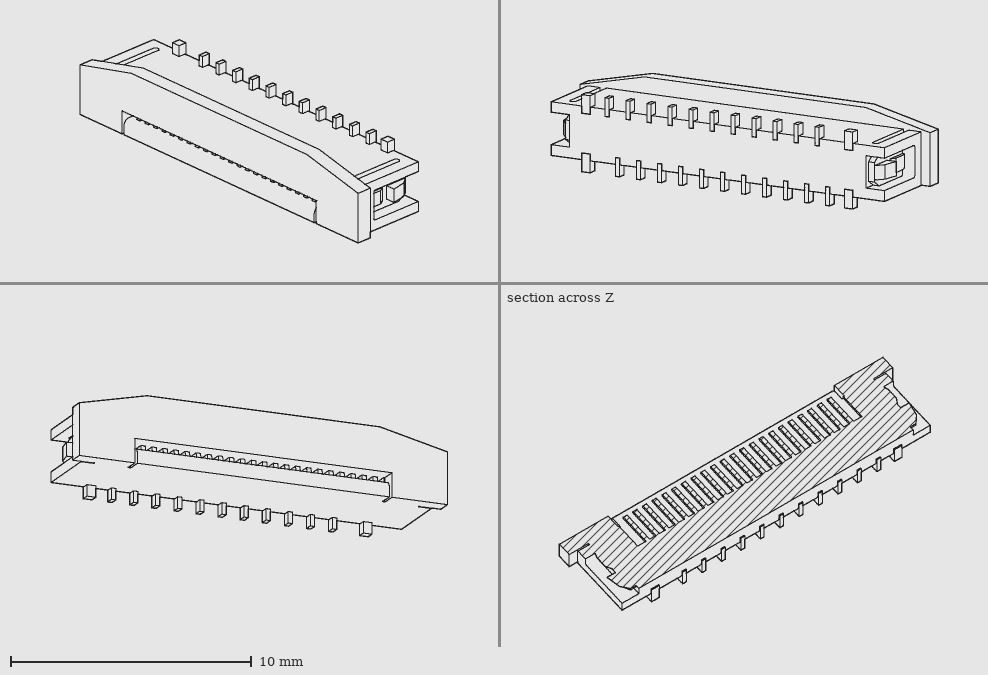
import cadquery as cq


flange_length = 16.7
flange_thickness = 0.7
flange_height = 3.0
flange_flat_half = 5.28

housing_length = 15.9
housing_height = 2.3
tail_overhang = 0.05
housing_rear = 3.85
overall_depth = housing_rear + tail_overhang
housing_half = housing_length / 2

mouth_half = 5.83
mouth_top = 1.07
pocket_side_step = 0.05
pocket_half = mouth_half - pocket_side_step
pocket_depth = 2.0
lip_half = 5.71
lip_top = 0.7
lip_radius = 0.3

contact_count = 22
contact_pitch = 0.5
contact_width = 0.2
contact_top = 0.95
contact_front = 0.4
contact_lean = 0.05
tail_length = 0.4
tail_reach = 0.5
tail_root = 0.3
anchor_width = 0.4
anchor_half_spacing = (contact_count + 3) / 2 * contact_pitch

cavity_bottom = 0.47
cavity_top = 1.85
cavity_front = 1.29
cavity_corner_radius = 0.1
relief_gap = 0.05

arm_outer = 7.36
arm_inner = 7.08
arm_rear = 3.65
arm_clearance = 0.05
arm_top = cavity_top - arm_clearance
arm_chamfer_length = 0.38
arm_chamfer_height = 0.25
slot_rear = 3.4
slot_corner_radius = 0.13

tooth_bottom = 0.8
tooth_top = 1.42
rear_tooth_crest = 3.29
rear_tooth_front = 2.59
rear_tooth_shoulder = 0.3
rear_tooth_height = 0.43
front_tooth_rear = 2.35
front_tooth_crest_rear = 2.09
front_tooth_crest_front = 1.5
front_tooth_height = 0.15
front_tooth_end_height = 0.08


def box(x_min, x_max, y_min, y_max, z_min, z_max):
    """Axis-aligned box between two corners."""
    size = (x_max - x_min, y_max - y_min, z_max - z_min)
    return cq.Workplane("XY").box(*size, centered=False).translate((x_min, y_min, z_min))


def side_profile(points, x_min, x_max):
    """Closed (y, z) outline extruded along X."""
    return cq.Workplane("YZ").polyline(points).close().extrude(x_max - x_min).translate((x_min, 0, 0))


def plan_profile(points, z_min, z_max):
    """Closed (x, y) outline extruded along Z."""
    return cq.Workplane("XY").polyline(points).close().extrude(z_max - z_min).translate((0, 0, z_min))


def both_ends(shape):
    """The shape together with its mirror image at the other end."""
    return shape.union(shape.mirror("YZ"))


def make_flange():
    half = flange_length / 2
    outline = [
        (-half, 0),
        (half, 0),
        (half, housing_height),
        (flange_flat_half, flange_height),
        (-flange_flat_half, flange_height),
        (-half, housing_height),
    ]
    return cq.Workplane("XZ").polyline(outline).close().extrude(-flange_thickness)


def make_mouth():
    """Material removed for the cable mouth, leaving a rounded lip along its lower edge."""
    opening = box(-mouth_half, mouth_half, 0, flange_thickness, lip_top, mouth_top)
    pocket = box(-pocket_half, pocket_half, 0, pocket_depth, lip_top, mouth_top)
    slit = box(-mouth_half, -lip_half, 0, flange_thickness, 0, lip_top)
    lip_rounding = (
        cq.Workplane("YZ")
        .moveTo(0, lip_top - lip_radius)
        .radiusArc((lip_radius, lip_top), lip_radius)
        .lineTo(0, lip_top)
        .close()
        .extrude(lip_half, both=True)
    )
    return opening.union(pocket).union(both_ends(slit)).union(lip_rounding)


def make_cavity():
    """Left-hand latch cavity, open to the side and to the rear."""
    window = box(-housing_half, -arm_inner, cavity_front, housing_rear, cavity_bottom, cavity_top)
    return window.edges("|X and <Y").fillet(cavity_corner_radius)


def make_slot():
    """Left-hand slot in the housing top, running back from the flange above the latch arm."""
    slot = box(-arm_outer, -arm_inner, flange_thickness, slot_rear, arm_top, housing_height)
    return slot.edges("|Z and >Y").fillet(slot_corner_radius)


def make_relief():
    """Narrow left-hand gap between the flange and the outer part of the housing."""
    relief_rear = flange_thickness + relief_gap
    return box(-housing_half, -arm_outer, flange_thickness, relief_rear, 0, housing_height)


def make_latch_arm():
    """Left-hand latch arm with chamfered rear corners and two teeth."""
    chamfer_start = arm_rear - arm_chamfer_length
    arm = side_profile(
        [
            (cavity_front, cavity_bottom),
            (chamfer_start, cavity_bottom),
            (arm_rear, cavity_bottom + arm_chamfer_height),
            (arm_rear, arm_top - arm_chamfer_height),
            (chamfer_start, arm_top),
            (cavity_front, arm_top),
        ],
        -arm_outer,
        -arm_inner,
    )
    rear_tooth = plan_profile(
        [
            (-arm_inner, arm_rear),
            (-arm_outer, arm_rear),
            (-arm_outer - rear_tooth_shoulder, rear_tooth_crest),
            (-arm_outer - rear_tooth_height, rear_tooth_front),
            (-arm_inner, rear_tooth_front),
        ],
        tooth_bottom,
        tooth_top,
    )
    front_tooth = plan_profile(
        [
            (-arm_inner, front_tooth_rear),
            (-arm_outer, front_tooth_rear),
            (-arm_outer - front_tooth_height, front_tooth_crest_rear),
            (-arm_outer - front_tooth_height, front_tooth_crest_front),
            (-arm_outer - front_tooth_end_height, cavity_front),
            (-arm_inner, cavity_front),
        ],
        tooth_bottom,
        tooth_top,
    )
    return arm.union(rear_tooth).union(front_tooth)


def make_contact(x):
    """Contact finger resting on the mouth floor, with a leaning front face."""
    outline = [
        (contact_front, lip_top),
        (pocket_depth, lip_top),
        (pocket_depth, contact_top),
        (contact_front + contact_lean, contact_top),
    ]
    return side_profile(outline, x - contact_width / 2, x + contact_width / 2)


def make_tail(x, width, upward):
    """Solder tail rooted in the rear of the housing, standing up from the top or down from the underside."""
    if upward:
        z_min, z_max = housing_height - tail_root, housing_height + tail_reach
    else:
        z_min, z_max = -tail_reach, tail_root
    return box(x - width / 2, x + width / 2, overall_depth - tail_length, overall_depth, z_min, z_max)


housing = box(-housing_half, housing_half, 0, housing_rear, 0, housing_height)
result = housing.union(make_flange()).cut(make_mouth())
result = result.cut(both_ends(make_cavity()))
result = result.union(both_ends(make_latch_arm()))
result = result.cut(both_ends(make_slot())).cut(both_ends(make_relief()))

for index in range(contact_count):
    contact_x = (index - (contact_count - 1) / 2) * contact_pitch
    result = result.union(make_contact(contact_x))
    result = result.union(make_tail(contact_x, contact_width, upward=index % 2 == 1))

for anchor_x in (-anchor_half_spacing, anchor_half_spacing):
    for upward in (True, False):
        result = result.union(make_tail(anchor_x, anchor_width, upward))